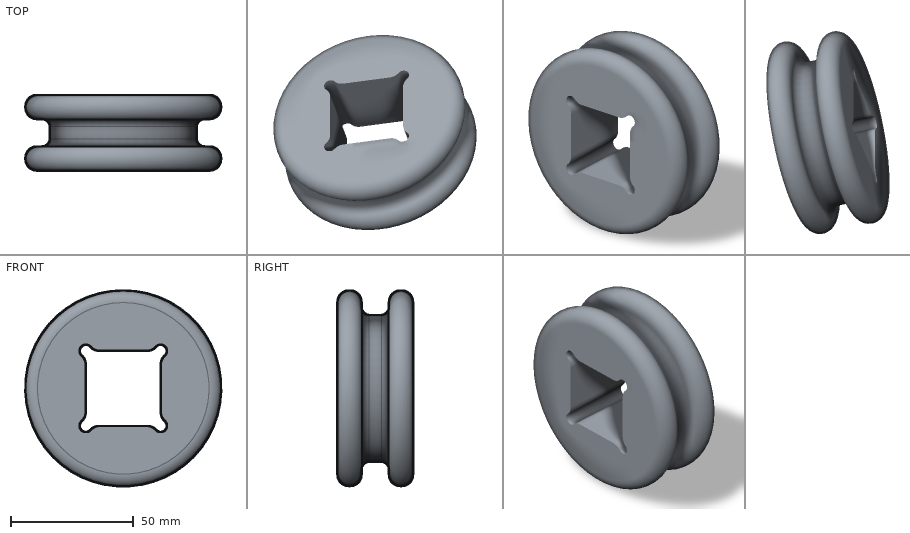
import cadquery as cq
import math

outer_radius = 40.0
rim_width = 10.0
groove_width = 11.0
groove_floor_radius = 30.0
groove_fillet = 3.0
total_width = 2 * rim_width + groove_width

bore_side = 30.5
relief_radius = 2.5
relief_blend_radius = 5.0

rim_round = rim_width / 2
face_radius = outer_radius - rim_round
half_width = total_width / 2
half_groove = groove_width / 2
half_bore = bore_side / 2
diagonal = math.sqrt(0.5)


def make_wheel():
    """Revolve the half section (Y = axial, Z = radial) around the Y axis."""
    rim_center = half_groove + rim_round
    wall_foot_radius = groove_floor_radius + groove_fillet
    floor_half_length = half_groove - groove_fillet
    fillet_mid_offset = groove_fillet * diagonal
    fillet_mid_axial = floor_half_length + fillet_mid_offset
    fillet_mid_radius = wall_foot_radius - fillet_mid_offset

    section = (
        cq.Workplane("YZ")
        .moveTo(-half_width, 0)
        .lineTo(-half_width, face_radius)
        .threePointArc((-rim_center, outer_radius), (-half_groove, face_radius))
        .lineTo(-half_groove, wall_foot_radius)
        .threePointArc((-fillet_mid_axial, fillet_mid_radius), (-floor_half_length, groove_floor_radius))
        .lineTo(floor_half_length, groove_floor_radius)
        .threePointArc((fillet_mid_axial, fillet_mid_radius), (half_groove, wall_foot_radius))
        .lineTo(half_groove, face_radius)
        .threePointArc((rim_center, outer_radius), (half_width, face_radius))
        .lineTo(half_width, 0)
        .close()
    )
    return section.revolve(360, (0, 0, 0), (1, 0, 0))


def turned(point, quarter_turns):
    """Turn an (x, z) point by quarter turns about the wheel axis."""
    x, z = point
    for _ in range(quarter_turns):
        x, z = -z, x
    return x, z


def make_bore():
    """Square through bore, a relief circle on each corner, blended into the flats."""
    center_distance = relief_radius + relief_blend_radius
    blend_length = math.sqrt(center_distance**2 - relief_blend_radius**2)
    blend_start = half_bore - blend_length

    tangent_out = relief_radius * relief_blend_radius / center_distance
    tangent_along = relief_radius * blend_length / center_distance

    mid_turn = math.acos(relief_blend_radius / center_distance) / 2
    blend_mid_along = blend_start + relief_blend_radius * math.sin(mid_turn)
    blend_mid_out = half_bore + relief_blend_radius * (1 - math.cos(mid_turn))

    tangent_near = half_bore - tangent_along
    tangent_far = half_bore + tangent_out
    relief_mid = half_bore + relief_radius * diagonal

    outline = cq.Workplane("XZ", origin=(0, half_width, 0)).moveTo(half_bore, -blend_start)
    for quarter in range(4):
        outline = (
            outline
            .lineTo(*turned((half_bore, blend_start), quarter))
            .threePointArc(
                turned((blend_mid_out, blend_mid_along), quarter),
                turned((tangent_far, tangent_near), quarter),
            )
            .threePointArc(
                turned((relief_mid, relief_mid), quarter),
                turned((tangent_near, tangent_far), quarter),
            )
            .threePointArc(
                turned((blend_mid_along, blend_mid_out), quarter),
                turned((blend_start, half_bore), quarter),
            )
        )
    return outline.close().extrude(total_width)


result = make_wheel().cut(make_bore())